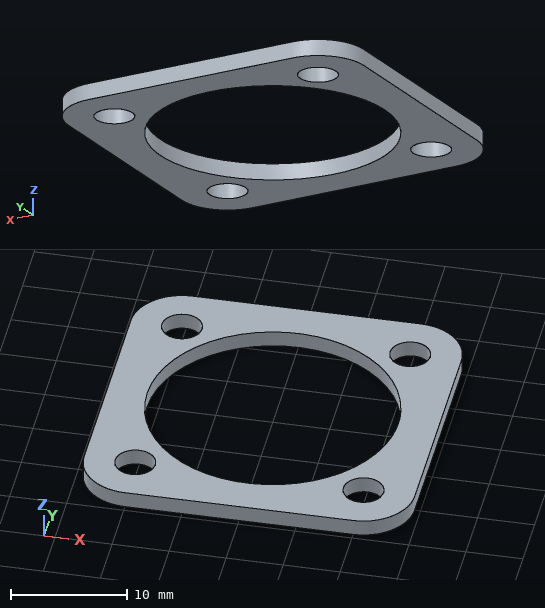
import cadquery as cq

side = 29.0
thickness = 1.5
corner_radius = 4.5
bore_diameter = 22.0
bolt_hole_diameter = 3.5

bolt_spacing = side - 2 * corner_radius

plate = (
    cq.Workplane("XY")
    .box(side, side, thickness, centered=(True, True, False))
    .edges("|Z")
    .fillet(corner_radius)
)

plate = plate.faces(">Z").workplane(origin=(0, 0, thickness)).hole(bore_diameter)

result = (
    plate.faces(">Z")
    .workplane(origin=(0, 0, thickness))
    .rect(bolt_spacing, bolt_spacing, forConstruction=True)
    .vertices()
    .hole(bolt_hole_diameter)
)